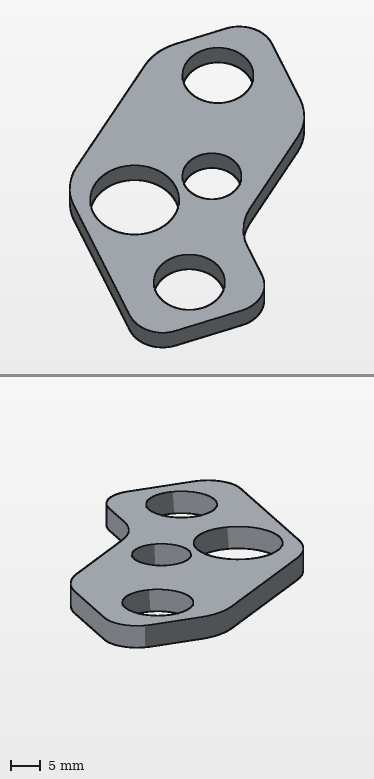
import cadquery as cq

length = 58.0
width = 44.0
thickness = 4.0

lower_slope_left_y = 25.1
lower_slope_bottom_x = 21.75
upper_slope_top_x = 23.45
upper_slope_step_x = 40.85
step_y = 24.0

square_corner_radius = 6.0
slope_corner_radius = 10.0

end_hole_diameter = 12.0
small_hole_diameter = 10.0
large_hole_diameter = 15.0
end_hole_inset = 9.0
left_hole_y = 33.0
right_hole_y = 12.0
large_hole_y = 10.0
middle_x = length / 2

square_corners = [(0, width), (length, step_y), (length, 0)]
slope_corners = [
    (upper_slope_top_x, width),
    (upper_slope_step_x, step_y),
    (lower_slope_bottom_x, 0),
    (0, lower_slope_left_y),
]
holes = [
    (end_hole_inset, left_hole_y, end_hole_diameter),
    (length - end_hole_inset, right_hole_y, end_hole_diameter),
    (middle_x, step_y, small_hole_diameter),
    (middle_x, large_hole_y, large_hole_diameter),
]


def round_corners(body, corners, radius):
    """Fillet the upright edge nearest to each outline corner."""
    for x, y in corners:
        nearest_edge = cq.selectors.NearestToPointSelector((x, y, thickness / 2))
        body = body.edges("|Z").edges(nearest_edge).fillet(radius)
    return body


def cut_hole(body, x, y, diameter):
    """Cut a round hole through the full thickness."""
    cutter = cq.Workplane("XY").center(x, y).circle(diameter / 2).extrude(thickness)
    return body.cut(cutter)


outline = [
    square_corners[0],
    slope_corners[0],
    slope_corners[1],
    square_corners[1],
    square_corners[2],
    slope_corners[2],
    slope_corners[3],
]
plate = cq.Workplane("XY").polyline(outline).close().extrude(thickness)
plate = round_corners(plate, square_corners, square_corner_radius)
plate = round_corners(plate, slope_corners, slope_corner_radius)

for hole_x, hole_y, hole_diameter in holes:
    plate = cut_hole(plate, hole_x, hole_y, hole_diameter)

result = plate